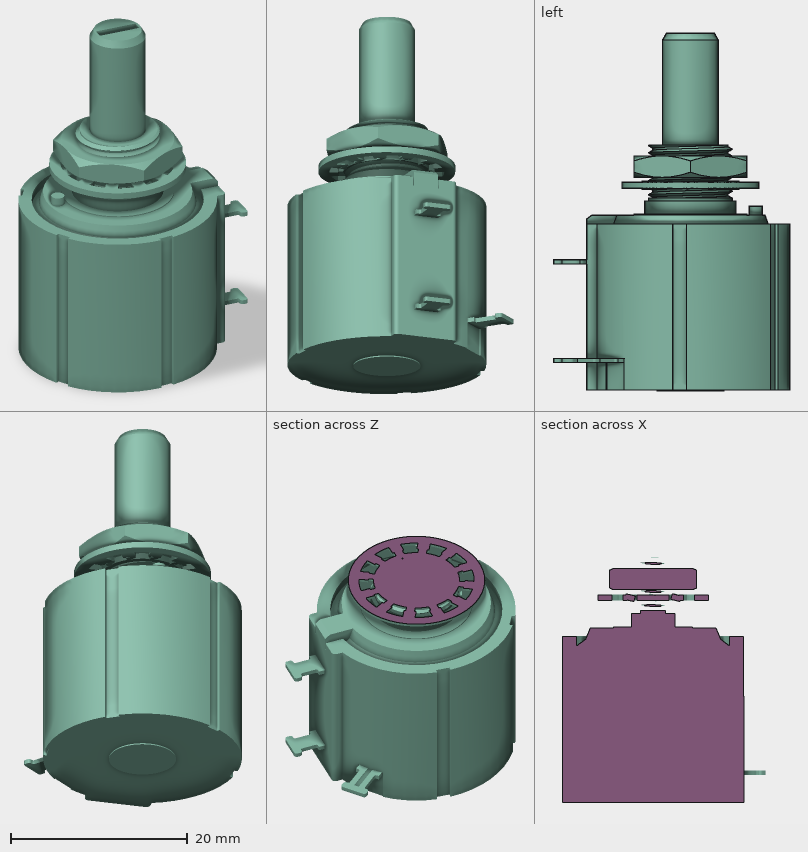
import cadquery as cq
import math


OVERLAP = 0.1

BODY_RADIUS = 11.25
BODY_HEIGHT = 18.8
LUG_REACH = 11.75
LUG_WIDTH = 7.6
LUG_CORNER_RADIUS = 0.5
BASE_DISC_DIAMETER = 7.6
BASE_DISC_HEIGHT = 0.13
NOTCH_WIDTH = 1.57
NOTCH_DEPTH = 0.42
NOTCH_ANGLES = (6.3, 173.7, 237.6, 302.4)

BOSS_HEIGHT = 1.0
BOSS_TOP = BODY_HEIGHT + BOSS_HEIGHT
BOSS_TOP_RADIUS = 8.45
BOSS_FOOT_RADIUS = 8.9
GROOVE_RADIUS = 9.74
GROOVE_DEPTH = 1.02
GROOVE_FOOT_RISE = 0.72
STEP_DIAMETER = 12.8
STEP_HEIGHT = 0.12
COLLAR_DIAMETER = 10.36
COLLAR_TOP = 21.4

KEY_WIDTH = 2.9
KEY_SLOT_WIDTH = 3.15
KEY_CHAMFER_LENGTH = 0.6
KEY_CHAMFER_DROP = 0.45
PIN_DIAMETER = 1.5
PIN_RADIUS_FROM_AXIS = 7.4
PIN_TOP = 20.8

THREAD_RADIUS = 9.525 / 2
THREAD_ROOT_RADIUS = 4.28
THREAD_PITCH = 25.4 / 32
THREAD_FLANK_ANGLE = 30
THREAD_TOP = 27.73
THREAD_CREST_HEIGHT = 27.45
THREAD_NECK_HEIGHT = 0.35

WASHER_DIAMETER = 15.5
WASHER_BOTTOM = 22.83
WASHER_THICKNESS = 0.7
WASHER_INNER_RADIUS = 6.5
WASHER_HUB_RADIUS = 4.9
TOOTH_COUNT = 12
TOOTH_ROOT_WIDTH = 1.45
TOOTH_TIP_WIDTH = 1.0
TOOTH_TWIST_RADIUS = 5.5
TOOTH_TWIST_ANGLE = 15

NUT_SIDES = 6
NUT_ACROSS_FLATS = 12.8
NUT_BOTTOM = 24.07
NUT_TOP = 26.5
NUT_CHAMFER_ANGLE = 30

SHAFT_DIAMETER = 6.35
SHAFT_TOP = 40.38
SHAFT_CHAMFER_WIDTH = 0.45
SHAFT_CHAMFER_HEIGHT = 0.78
SHAFT_SLOT_WIDTH = 1.15
SHAFT_SLOT_LENGTH = 4.87
SHAFT_SLOT_DEPTH = 1.2

TERMINAL_REACH = 15.47
TERMINAL_ROOT = 9.0
TERMINAL_THICKNESS = 0.5
TERMINAL_HEAD_WIDTH = 3.17
TERMINAL_HEAD_LENGTH = 0.92
TERMINAL_NECK_WIDTH = 1.93
TERMINAL_SHOULDER_WIDTH = 2.9
TERMINAL_SHOULDER_REACH = 12.5
SIDE_TERMINAL_SHOULDER_REACH = 11.9
TERMINAL_HEAD_FILLET = 0.3
TERMINAL_NECK_FILLET = 0.2
UPPER_TERMINAL_BOTTOM = 14.25
LOWER_TERMINAL_BOTTOM = 3.1
SIDE_TERMINAL_ANGLE = 40
GUTTER_RADIUS = 0.28
GUTTER_REACH = 14.6
RECESS_WIDTH = 3.2
RECESS_DEPTH = 0.25


def cylinder(radius, bottom, top):
    """Upright cylinder on the Z axis."""
    return cq.Workplane("XY").workplane(offset=bottom).circle(radius).extrude(top - bottom)


def block(x_range, y_range, z_range):
    """Box given by its limits along each axis."""
    (x0, x1), (y0, y1), (z0, z1) = x_range, y_range, z_range
    return cq.Workplane("XY").box(x1 - x0, y1 - y0, z1 - z0, centered=False).translate((x0, y0, z0))


def turn(shape, angle):
    """Rotate a shape about the Z axis."""
    return shape.rotate((0, 0, 0), (0, 0, 1), angle)


def make_housing():
    half_lug = LUG_WIDTH / 2
    lug = block((-half_lug, half_lug), (0, LUG_REACH), (0, BODY_HEIGHT))
    lug = lug.edges("|Z and >Y").fillet(LUG_CORNER_RADIUS)
    housing = cylinder(BODY_RADIUS, 0, BODY_HEIGHT).union(lug)

    half_notch = NOTCH_WIDTH / 2
    notch = block(
        (BODY_RADIUS - NOTCH_DEPTH, BODY_RADIUS + OVERLAP),
        (-half_notch, half_notch),
        (0, BODY_HEIGHT),
    )
    for angle in NOTCH_ANGLES:
        housing = housing.cut(turn(notch, angle))

    half_recess = RECESS_WIDTH / 2
    recess = block(
        (-half_recess, half_recess),
        (BODY_RADIUS - RECESS_DEPTH, BODY_RADIUS + OVERLAP),
        (0, LOWER_TERMINAL_BOTTOM + TERMINAL_THICKNESS),
    )
    housing = housing.cut(turn(recess, SIDE_TERMINAL_ANGLE))

    groove_floor = BODY_HEIGHT - GROOVE_DEPTH
    housing = housing.cut(cylinder(GROOVE_RADIUS, groove_floor, BODY_HEIGHT))
    half_slot = KEY_SLOT_WIDTH / 2
    key_slot = block((-half_slot, half_slot), (0, LUG_REACH), (groove_floor, BODY_HEIGHT))
    base_disc = cylinder(BASE_DISC_DIAMETER / 2, -BASE_DISC_HEIGHT, OVERLAP)
    return housing.cut(key_slot).union(base_disc)


def make_boss():
    """Tapered boss with a flared foot, and the step and collar above it."""
    groove_floor = BODY_HEIGHT - GROOVE_DEPTH
    boss = (
        cq.Workplane("XZ")
        .moveTo(0, groove_floor - OVERLAP)
        .lineTo(GROOVE_RADIUS, groove_floor - OVERLAP)
        .lineTo(GROOVE_RADIUS, groove_floor)
        .lineTo(BOSS_FOOT_RADIUS, groove_floor + GROOVE_FOOT_RISE)
        .lineTo(BOSS_TOP_RADIUS, BOSS_TOP)
        .lineTo(0, BOSS_TOP)
        .close()
        .revolve(360, (0, 0, 0), (0, 1, 0))
    )
    step = cylinder(STEP_DIAMETER / 2, BOSS_TOP - OVERLAP, BOSS_TOP + STEP_HEIGHT)
    collar = cylinder(COLLAR_DIAMETER / 2, BOSS_TOP - OVERLAP, COLLAR_TOP)
    pin = cylinder(PIN_DIAMETER / 2, BOSS_TOP - OVERLAP, PIN_TOP)
    pin = pin.translate((0, -PIN_RADIUS_FROM_AXIS, 0))
    return boss.union(step).union(collar).union(pin)


def make_key():
    """Bar from the boss to the lug face, sloped at its outer top edge."""
    bottom = BODY_HEIGHT - GROOVE_DEPTH - OVERLAP
    inner_end = COLLAR_DIAMETER / 2
    return (
        cq.Workplane("YZ")
        .moveTo(inner_end, bottom)
        .lineTo(LUG_REACH, bottom)
        .lineTo(LUG_REACH, BOSS_TOP - KEY_CHAMFER_DROP)
        .lineTo(LUG_REACH - KEY_CHAMFER_LENGTH, BOSS_TOP)
        .lineTo(inner_end, BOSS_TOP)
        .close()
        .extrude(KEY_WIDTH / 2, both=True)
    )


def make_thread():
    """Bushing core with a right-hand helical ridge, trimmed flat at the top."""
    turns_below_crest = math.ceil((THREAD_CREST_HEIGHT - COLLAR_TOP) / THREAD_PITCH)
    start = THREAD_CREST_HEIGHT - turns_below_crest * THREAD_PITCH
    length = (turns_below_crest + 1) * THREAD_PITCH
    foot_radius = THREAD_ROOT_RADIUS - OVERLAP
    foot_half_width = (THREAD_RADIUS - foot_radius) * math.tan(math.radians(THREAD_FLANK_ANGLE))

    helix = cq.Wire.makeHelix(THREAD_PITCH, length, THREAD_ROOT_RADIUS)
    ridge = (
        cq.Workplane("XZ")
        .moveTo(foot_radius, -foot_half_width)
        .lineTo(THREAD_RADIUS, 0)
        .lineTo(foot_radius, foot_half_width)
        .close()
        .sweep(cq.Workplane(obj=helix), isFrenet=True)
        .translate((0, 0, start))
    )
    core = cylinder(THREAD_ROOT_RADIUS, COLLAR_TOP - OVERLAP, start + length + THREAD_PITCH)
    envelope = cylinder(THREAD_RADIUS + OVERLAP, COLLAR_TOP - OVERLAP, THREAD_TOP)
    threaded = core.union(ridge).intersect(envelope)
    neck = cylinder(THREAD_RADIUS, COLLAR_TOP - OVERLAP, COLLAR_TOP + THREAD_NECK_HEIGHT)
    return threaded.union(neck)


def make_washer():
    """Flat ring whose inward teeth have twisted tips, joined to a hub around the thread."""
    top = WASHER_BOTTOM + WASHER_THICKNESS
    middle = WASHER_BOTTOM + WASHER_THICKNESS / 2
    washer = cylinder(WASHER_DIAMETER / 2, WASHER_BOTTOM, top)
    washer = washer.cut(cylinder(WASHER_INNER_RADIUS, WASHER_BOTTOM, top))
    washer = washer.union(cylinder(WASHER_HUB_RADIUS, WASHER_BOTTOM, top))

    half_root = TOOTH_ROOT_WIDTH / 2
    half_tip = TOOTH_TIP_WIDTH / 2
    tip_start = WASHER_HUB_RADIUS - OVERLAP
    root = block(
        (TOOTH_TWIST_RADIUS - OVERLAP, WASHER_INNER_RADIUS + OVERLAP),
        (-half_root, half_root),
        (WASHER_BOTTOM, top),
    )
    tip = block((tip_start, TOOTH_TWIST_RADIUS), (-half_tip, half_tip), (WASHER_BOTTOM, top))
    tip = tip.rotate((0, 0, middle), (1, 0, middle), TOOTH_TWIST_ANGLE)
    tooth = root.union(tip)
    for index in range(TOOTH_COUNT):
        washer = washer.union(turn(tooth, index * 360 / TOOTH_COUNT))
    return washer


def make_nut():
    """Hexagon with corners on the X axis, chamfered on both faces."""
    flat_radius = NUT_ACROSS_FLATS / 2
    corner_radius = flat_radius / math.cos(math.pi / NUT_SIDES)
    drop = (corner_radius - flat_radius) * math.tan(math.radians(NUT_CHAMFER_ANGLE))
    hexagon = (
        cq.Workplane("XY")
        .workplane(offset=NUT_BOTTOM)
        .polygon(NUT_SIDES, 2 * corner_radius)
        .extrude(NUT_TOP - NUT_BOTTOM)
    )
    chamfer_envelope = (
        cq.Workplane("XZ")
        .moveTo(0, NUT_BOTTOM)
        .lineTo(flat_radius, NUT_BOTTOM)
        .lineTo(corner_radius, NUT_BOTTOM + drop)
        .lineTo(corner_radius, NUT_TOP - drop)
        .lineTo(flat_radius, NUT_TOP)
        .lineTo(0, NUT_TOP)
        .close()
        .revolve(360, (0, 0, 0), (0, 1, 0))
    )
    return hexagon.intersect(chamfer_envelope)


def make_shaft():
    radius = SHAFT_DIAMETER / 2
    shaft = (
        cq.Workplane("XZ")
        .moveTo(0, BOSS_TOP)
        .lineTo(radius, BOSS_TOP)
        .lineTo(radius, SHAFT_TOP - SHAFT_CHAMFER_HEIGHT)
        .lineTo(radius - SHAFT_CHAMFER_WIDTH, SHAFT_TOP)
        .lineTo(0, SHAFT_TOP)
        .close()
        .revolve(360, (0, 0, 0), (0, 1, 0))
    )
    half_width = SHAFT_SLOT_WIDTH / 2
    half_length = SHAFT_SLOT_LENGTH / 2
    slot = block(
        (-half_width, half_width),
        (-half_length, half_length),
        (SHAFT_TOP - SHAFT_SLOT_DEPTH, SHAFT_TOP),
    )
    return shaft.cut(slot)


def make_terminal(bottom, shoulder_reach):
    """Flat T-headed terminal pointing along +Y."""
    top = bottom + TERMINAL_THICKNESS
    head_start = TERMINAL_REACH - TERMINAL_HEAD_LENGTH
    half_head = TERMINAL_HEAD_WIDTH / 2
    half_neck = TERMINAL_NECK_WIDTH / 2
    half_shoulder = TERMINAL_SHOULDER_WIDTH / 2
    head = block((-half_head, half_head), (head_start, TERMINAL_REACH), (bottom, top))
    head = head.edges("|Z").fillet(TERMINAL_HEAD_FILLET)
    neck = block((-half_neck, half_neck), (TERMINAL_ROOT, TERMINAL_REACH), (bottom, top))
    shoulder = block(
        (-half_shoulder, half_shoulder),
        (TERMINAL_ROOT, shoulder_reach),
        (bottom, top),
    )
    terminal = head.union(neck).union(shoulder)
    neck_corners = cq.selectors.BoxSelector(
        (-half_neck - OVERLAP, shoulder_reach - OVERLAP, bottom - OVERLAP),
        (half_neck + OVERLAP, head_start + OVERLAP, top + OVERLAP),
    )
    return terminal.edges("|Z").edges(neck_corners).fillet(TERMINAL_NECK_FILLET)


def make_side_terminal():
    """Lower terminal with a round-bottomed gutter, turned to the -X side."""
    top = LOWER_TERMINAL_BOTTOM + TERMINAL_THICKNESS
    gutter = (
        cq.Workplane("XZ", origin=(0, BODY_RADIUS - RECESS_DEPTH, top))
        .circle(GUTTER_RADIUS)
        .extrude(BODY_RADIUS - RECESS_DEPTH - GUTTER_REACH)
    )
    terminal = make_terminal(LOWER_TERMINAL_BOTTOM, SIDE_TERMINAL_SHOULDER_REACH)
    return turn(terminal.cut(gutter), SIDE_TERMINAL_ANGLE)


housing = make_housing().union(make_boss()).union(make_key())
housing = housing.union(make_terminal(UPPER_TERMINAL_BOTTOM, TERMINAL_SHOULDER_REACH))
housing = housing.union(make_terminal(LOWER_TERMINAL_BOTTOM, TERMINAL_SHOULDER_REACH))
housing = housing.union(make_side_terminal())
spindle = make_thread().union(make_shaft()).union(make_nut()).union(make_washer())
result = housing.union(spindle)